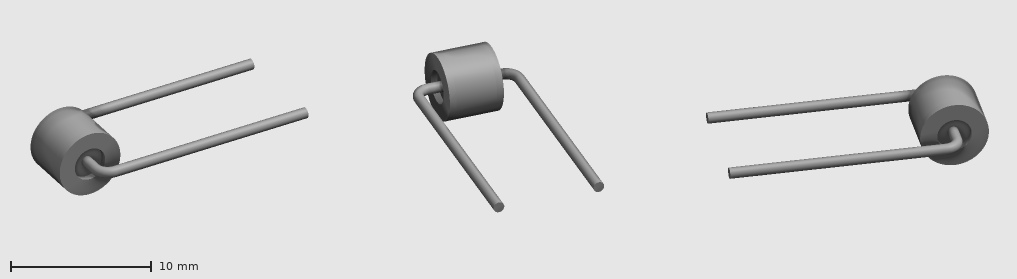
import cadquery as cq

body_diameter = 5.0
body_length = 4.1
cap_thickness = 0.52
recess_diameter = 2.5
recess_depth = 0.5

lead_span = 8.4
lead_diameter = 0.8
bend_radius = 1.0
total_length = 19.2

body_radius = body_diameter / 2
end_x = body_length / 2
cap_inner_x = end_x - cap_thickness
floor_x = end_x - recess_depth
lead_x = (lead_span - lead_diameter) / 2
lead_tip_y = total_length - body_radius


def make_insulator():
    """Plain cylinder between the two end caps."""
    return (
        cq.Workplane("YZ")
        .workplane(offset=-cap_inner_x)
        .circle(body_radius)
        .extrude(2 * cap_inner_x)
    )


def make_lead():
    """Round wire from the recess floor outwards, then bent towards +Y."""
    path = (
        cq.Workplane("XY")
        .moveTo(floor_x, 0)
        .lineTo(lead_x - bend_radius, 0)
        .tangentArcPoint((lead_x, bend_radius), relative=False)
        .lineTo(lead_x, lead_tip_y)
    )
    return (
        cq.Workplane("YZ", origin=(floor_x, 0, 0))
        .circle(lead_diameter / 2)
        .sweep(path)
    )


def make_electrode():
    """End cap at +X with a round recess, joined to its lead at the recess floor."""
    cap = (
        cq.Workplane("YZ")
        .workplane(offset=cap_inner_x)
        .circle(body_radius)
        .extrude(cap_thickness)
        .faces(">X")
        .workplane()
        .hole(recess_diameter, recess_depth)
    )
    return cap.union(make_lead())


insulator = make_insulator()

electrodes = []
for mirrored in (False, True):
    electrode = make_electrode()
    if mirrored:
        electrode = electrode.mirror("YZ")
    electrodes.append(electrode.val())

result = cq.Compound.makeCompound([insulator.val(), *electrodes])